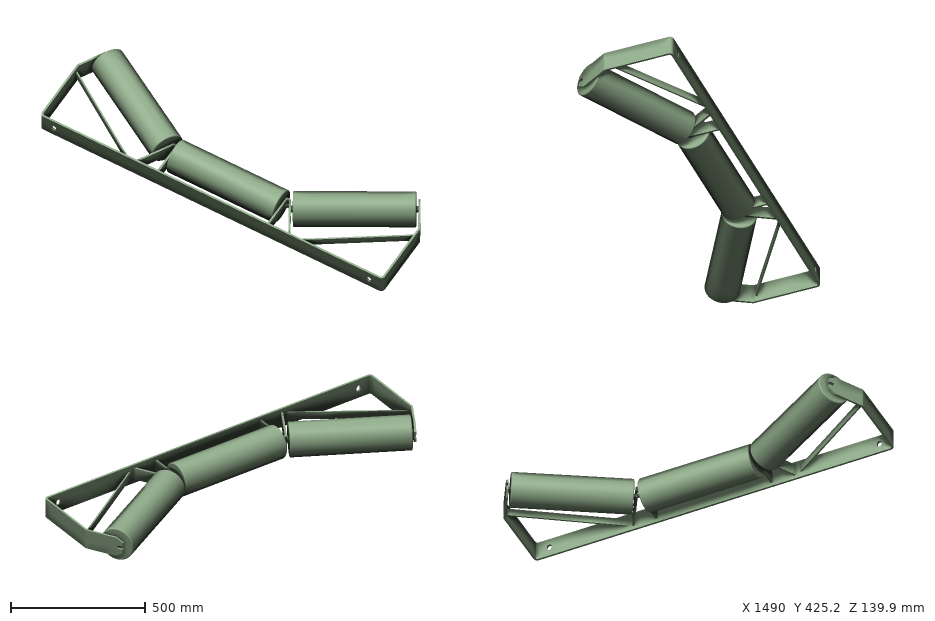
import cadquery as cq
import math

overall_length = 1490.0
strip_height = 80.0
strip_thickness = 8.0
bend_inner_radius = 8.0
bend_outer_radius = bend_inner_radius + strip_thickness
wing_corner_y = 273.0
wing_length = 152.0
wing_tip_chamfer_along = 28.0
wing_tip_chamfer_across = 18.0
mount_hole_width = 20.0
mount_hole_height = 25.0
mount_hole_inset = 61.0

trough_angle = 30.0
roller_diameter = 134.0
roller_length = 460.0
roller_end_fillet = 5.0
center_end_gap = 5.0
tongue_depth = 21.0
tongue_width = 13.0
center_roller_y = 125.0
center_roller_z = -5.2
side_roller_inner_x = 273.0
side_roller_inner_y = 139.0
side_roller_rise = 6.0

bracket_height = 49.0
bracket_top_y = 153.0
bracket_corner_radius = 5.0

brace_thickness = 6.0
brace_height = 31.0
brace_outer_y = 261.0
brace_inner_x = 356.0

half_length = overall_length / 2
half_roller = roller_length / 2
lean = math.radians(trough_angle)
side_end_gap = (
    (half_length - side_roller_inner_x) * math.cos(lean)
    + (wing_corner_y - side_roller_inner_y) * math.sin(lean)
    - roller_length
    - strip_thickness
)
side_roller_tilt = math.degrees(math.asin(side_roller_rise / roller_length))
SIDES = (-1, 1)


def right_to_side(body, side):
    """Return the body itself for the +X side, or its mirror image for the -X side."""
    return body if side > 0 else body.mirror("YZ")


def extrude_outline(points, height):
    """Closed XY outline extruded evenly about the XY plane."""
    return cq.Workplane("XY").polyline(points).close().extrude(height / 2, both=True)


def fillet_uprights(body, corners, radius):
    """Round the Z-parallel edges that stand at the given XY corners."""
    for x, y in corners:
        nearest = cq.selectors.NearestToPointSelector((x, y, 0))
        body = body.edges("|Z").edges(nearest).fillet(radius)
    return body


def roller_at_origin(end_gap):
    tongue_length = end_gap + strip_thickness
    drum = cq.Workplane("YZ", origin=(-half_roller, 0, 0)).circle(roller_diameter / 2).extrude(roller_length)
    drum = drum.faces("<X or >X").edges().fillet(roller_end_fillet)
    tongues = cq.Workplane("XY").box(roller_length + 2 * tongue_length, tongue_depth, tongue_width)
    return drum.union(tongues)


def slots_at_origin(end_gap):
    """Cutters for the open slots that hold the two tongues of a roller lying along X."""
    tongue_length = end_gap + strip_thickness
    slot_reach = roller_diameter / 2
    cutters = cq.Workplane("XY")
    for side in SIDES:
        cutters = cutters.add(
            cq.Workplane("XY")
            .box(2 * tongue_length, slot_reach + tongue_depth / 2, tongue_width)
            .translate((side * (half_roller + tongue_length), (slot_reach - tongue_depth / 2) / 2, 0))
        )
    return cutters.combine()


def place_center(body):
    return body.translate((0, center_roller_y, center_roller_z))


def place_side(body, side):
    """Raise the outer end of a roller that starts along X and move it to one side."""
    raised = (
        body.translate((half_roller, 0, 0))
        .rotate((0, 0, 0), (0, 1, 0), -side_roller_tilt)
        .rotate((0, 0, 0), (0, 0, 1), trough_angle)
        .translate((side_roller_inner_x, side_roller_inner_y, center_roller_z))
    )
    return right_to_side(raised, side)


def bent_strip():
    inner_x = half_length - strip_thickness
    inner_shift = strip_thickness * math.tan(lean / 2)
    wing_x = wing_length * math.sin(lean)
    wing_y = wing_length * math.cos(lean)
    tip_outer = (half_length - wing_x, wing_corner_y + wing_y)
    tip_inner = (
        tip_outer[0] - strip_thickness * math.cos(lean),
        tip_outer[1] - strip_thickness * math.sin(lean),
    )
    outer_corners = [(half_length, 0), (half_length, wing_corner_y)]
    inner_corners = [(inner_x, wing_corner_y - inner_shift), (inner_x, strip_thickness)]
    right_half = [*outer_corners, tip_outer, tip_inner, *inner_corners]
    left_half = [(-x, y) for x, y in reversed(right_half)]
    strip = extrude_outline(right_half + left_half, strip_height)
    for x, y in inner_corners:
        strip = fillet_uprights(strip, [(x, y), (-x, y)], bend_inner_radius)
    for x, y in outer_corners:
        strip = fillet_uprights(strip, [(x, y), (-x, y)], bend_outer_radius)
    for side in SIDES:
        strip = strip.cut(right_to_side(wing_tip_cutter(tip_outer), side))
    return strip.cut(mount_holes())


def wing_tip_cutter(tip):
    """Two wedges that take the corners off the tip of the +X wing."""
    half_height = strip_height / 2
    cutter = cq.Workplane("XY")
    for level in SIDES:
        cutter = cutter.add(
            cq.Workplane("YZ")
            .polyline([
                (0, level * half_height),
                (-wing_tip_chamfer_along, level * half_height),
                (0, level * (half_height - wing_tip_chamfer_across)),
            ])
            .close()
            .extrude(2 * strip_thickness, both=True)
        )
    return cutter.combine().rotate((0, 0, 0), (0, 0, 1), trough_angle).translate((tip[0], tip[1], 0))


def mount_holes():
    hole_x = half_length - mount_hole_inset
    return (
        cq.Workplane("XZ")
        .pushPoints([(-hole_x, 0), (hole_x, 0)])
        .slot2D(mount_hole_height, mount_hole_width, 90)
        .extrude(-strip_thickness)
    )


def inner_bracket(side):
    """Upright leg for the center roller, folded over into a leaning leg for the side roller."""
    leg_x = half_roller + center_end_gap
    slant = math.tan(lean)
    level_thickness = strip_thickness / math.cos(lean)
    foot_x = side_roller_inner_x - side_end_gap / math.cos(lean) + side_roller_inner_y * slant
    fold_y = bracket_top_y - strip_thickness

    def leaning_x(y):
        return foot_x - y * slant

    outline = [
        (leg_x, strip_thickness),
        (leg_x, bracket_top_y),
        (leaning_x(bracket_top_y), bracket_top_y),
        (leaning_x(strip_thickness), strip_thickness),
        (leaning_x(strip_thickness) - level_thickness, strip_thickness),
        (leaning_x(fold_y) - level_thickness, fold_y),
        (leg_x + strip_thickness, fold_y),
        (leg_x + strip_thickness, strip_thickness),
    ]
    bracket = extrude_outline(outline, bracket_height)
    bracket = fillet_uprights(bracket, [(leg_x, bracket_top_y)], bracket_corner_radius)
    return right_to_side(bracket, side)


def brace(side):
    """Flat bar from the base of the strip to its upright end."""
    outer_x = half_length - strip_thickness
    angle = math.atan2(brace_outer_y - strip_thickness, outer_x - brace_inner_x)
    rise = brace_thickness / math.cos(angle)
    run = brace_thickness / math.sin(angle)
    outline = [
        (brace_inner_x, strip_thickness),
        (outer_x, brace_outer_y),
        (outer_x, brace_outer_y - rise),
        (brace_inner_x + run, strip_thickness),
    ]
    return right_to_side(extrude_outline(outline, brace_height), side)


frame = bent_strip()
for side in SIDES:
    frame = frame.union(inner_bracket(side)).union(brace(side))
frame = frame.cut(place_center(slots_at_origin(center_end_gap)))
for side in SIDES:
    frame = frame.cut(place_side(slots_at_origin(side_end_gap), side))

center_roller = place_center(roller_at_origin(center_end_gap))
side_rollers = [place_side(roller_at_origin(side_end_gap), side) for side in SIDES]

result = cq.Compound.makeCompound([
    frame.val(),
    center_roller.val(),
    *[roller.val() for roller in side_rollers],
])